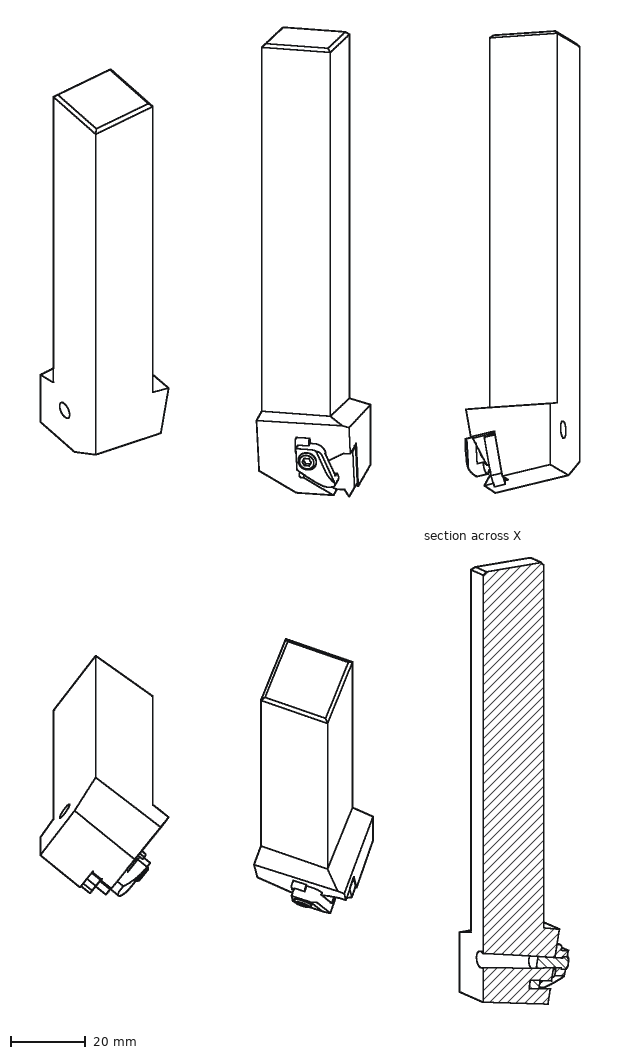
import cadquery as cq
import math

total_length = 124.4
shank_size = 19.0
shank_chamfer = 0.9
right_x = 25.5
shank_left_x = right_x - shank_size

shoulder_z = 22.8
shoulder_slope = 13.0
head_back_limit = 31.1
head_depth = 37.3
head_left_limit = -6.2
nose_flat = 15.4
nose_angle = 30.0

rake_tilt = 10.0
side_tilt = 1.5
tool_origin = (0.09, 20.0, 1.2)

half_corner = math.radians(30)
insert_inradius = 4.7
insert_thickness = 3.1
insert_center_x = 5.0
insert_center_y = 5.3
rake_depth = 3.6
tooth_x = 1.9
tooth_tip_y = -1.9
tooth_half_angle = 30.0
tooth_depth = 2.0
corner_cut = 1.9
seat_depth = rake_depth + insert_thickness
seat_corner_radius = 0.7

clamp_left = 3.1
clamp_right = 13.9
clamp_tip_y = 3.4
clamp_back_y = 14.9
clamp_height = 3.9
tip_shoulder_height = 2.1
crest_y = 8.7
tip_drop = 1.1
finger_back_y = 6.1
foot_front_y = 12.5
underside_gap = 0.6
tip_right = 7.0
tip_radius = 1.5
right_side_y = 8.7
back_left = 7.7
back_corner_radius = 3.1
edge_chamfer = 0.7
heel_left = 11.0
heel_right = 14.7
heel_back_y = 16.4
heel_height = 1.6
heel_radius = 0.7

screw_x = 11.0
screw_y = 11.5
screw_radius = 2.2
screw_end_depth = 5.6
screw_head_radius = 2.5
screw_head_base = 2.5
screw_head_top = 4.5
screw_head_chamfer = 0.5
socket_across_corners = 2.5
socket_depth = 1.2
socket_sides = 6


def tool_plane(depth=0.0):
    """Plane parallel to the head's top face, sunk into the material by depth."""
    tilt = math.radians(rake_tilt)
    side = math.radians(side_tilt)
    across = (math.cos(side), math.sin(side), 0)
    inward = (
        math.sin(side) * math.cos(tilt),
        -math.cos(side) * math.cos(tilt),
        math.sin(tilt),
    )
    origin = [place + depth * step for place, step in zip(tool_origin, inward)]
    return cq.Plane(origin=tuple(origin), xDir=across, normal=inward)


def nearest(plane, point):
    """Selector for the edge or face closest to a point given in a plane's coordinates."""
    return cq.NearestToPointSelector(plane.toWorldCoords(point).toTuple())


def make_shank():
    """Square bar with a chamfered upper end."""
    bar = cq.Workplane("XY").box(
        shank_size, shank_size, total_length - shoulder_z, centered=False
    )
    bar = bar.faces(">Z").edges().chamfer(shank_chamfer)
    return bar.translate((shank_left_x, 0, shoulder_z))


def make_shoulder_envelope():
    """Block below the shank whose upper -X and +Y faces slope down from the shank."""
    slope = math.tan(math.radians(shoulder_slope))
    left_drop = (shank_left_x - head_left_limit) * slope
    back_drop = (head_back_limit - shank_size) * slope
    side_outline = (
        cq.Workplane("XZ")
        .moveTo(head_left_limit, 0)
        .lineTo(right_x, 0)
        .lineTo(right_x, shoulder_z)
        .lineTo(shank_left_x, shoulder_z)
        .lineTo(head_left_limit, shoulder_z - left_drop)
        .close()
        .extrude(-head_back_limit)
    )
    back_outline = (
        cq.Workplane("YZ")
        .moveTo(0, 0)
        .lineTo(head_back_limit, 0)
        .lineTo(head_back_limit, shoulder_z - back_drop)
        .lineTo(shank_size, shoulder_z)
        .lineTo(0, shoulder_z)
        .close()
        .extrude(right_x - head_left_limit)
        .translate((head_left_limit, 0, 0))
    )
    return side_outline.intersect(back_outline)


def make_head():
    """Tilted prism with a flat and an angled lower side, trimmed by the shoulder."""
    far_x = right_x + shank_size
    far_y = (far_x - nose_flat) * math.tan(math.radians(nose_angle))
    top_y = 2 * shoulder_z
    prism = (
        cq.Workplane(tool_plane())
        .moveTo(0, 0)
        .lineTo(nose_flat, 0)
        .lineTo(far_x, far_y)
        .lineTo(far_x, top_y)
        .lineTo(0, top_y)
        .close()
        .extrude(head_depth)
    )
    return prism.intersect(make_shoulder_envelope())


def insert_outline():
    """Triangle with a V tooth at the lower left corner and two cut-off corners."""
    left_x = insert_center_x - insert_inradius
    right_corner_x = insert_center_x + 2 * insert_inradius
    half_side = insert_inradius * math.sqrt(3)
    top_y = insert_center_y + half_side
    corner_y = insert_center_y - half_side
    cut_across = corner_cut * math.cos(half_corner)
    cut_up = corner_cut * math.sin(half_corner)
    flank = math.tan(math.radians(tooth_half_angle))
    root_y = tooth_tip_y + tooth_depth
    return [
        (left_x, tooth_tip_y + (tooth_x - left_x) / flank),
        (tooth_x, tooth_tip_y),
        (tooth_x + tooth_depth * flank, root_y),
        (left_x + (root_y - corner_y) * math.sqrt(3), root_y),
        (right_corner_x - cut_across, insert_center_y - cut_up),
        (right_corner_x - cut_across, insert_center_y + cut_up),
        (left_x + cut_across, top_y - cut_up),
        (left_x, top_y - corner_cut),
    ]


def make_insert():
    """Flat plate with the insert outline, sunk below the head's top face."""
    return (
        cq.Workplane(tool_plane(rake_depth))
        .polyline(insert_outline())
        .close()
        .extrude(insert_thickness)
    )


def make_seat():
    """Pocket for the insert: two walls along its inner edges, open to the left and below."""
    inner_corner_x = insert_center_x + 2 * insert_inradius
    reach = inner_corner_x - head_left_limit
    rise = reach * math.tan(half_corner)
    insert_top = max(y for x, y in insert_outline())
    triangle = (
        cq.Workplane(tool_plane())
        .moveTo(inner_corner_x, insert_center_y)
        .lineTo(head_left_limit, insert_center_y + rise)
        .lineTo(head_left_limit, insert_center_y - rise)
        .close()
        .extrude(seat_depth)
    )
    level_cap = (
        cq.Workplane(tool_plane())
        .moveTo(head_left_limit, insert_top)
        .lineTo(right_x, insert_top)
        .lineTo(right_x, -reach)
        .lineTo(head_left_limit, -reach)
        .close()
        .extrude(seat_depth)
    )
    corner_relief = (
        cq.Workplane(tool_plane())
        .center(inner_corner_x - seat_corner_radius, insert_center_y)
        .circle(seat_corner_radius)
        .extrude(seat_depth)
    )
    return triangle.intersect(level_cap).union(corner_relief)


def make_screw_hole():
    """Hole for the clamp screw, right through the head."""
    return (
        cq.Workplane(tool_plane())
        .center(screw_x, screw_y)
        .circle(screw_radius)
        .extrude(head_depth)
    )


def make_holder():
    """Shank and head in one piece, with the insert seat and the screw hole."""
    blank = make_shank().union(make_head())
    return blank.cut(make_seat()).cut(make_insert()).cut(make_screw_hole())


def clamp_side_plane():
    """Plane at the clamp's left end, facing left: x up along the head, y out of the top face."""
    tool = tool_plane()
    outward = tool.zDir.multiply(-1)
    origin = tool.toWorldCoords((clamp_left, 0, 0))
    return cq.Plane(origin=origin, xDir=tool.yDir, normal=tool.yDir.cross(outward))


def make_clamp_plan():
    """Column with the clamp's plan shape: leaning left side, rounded corners, beveled top edge."""
    tool = tool_plane(-clamp_height)
    plan = (
        cq.Workplane(tool)
        .moveTo(clamp_left, clamp_tip_y)
        .lineTo(tip_right, clamp_tip_y)
        .lineTo(clamp_right, right_side_y)
        .lineTo(clamp_right, clamp_back_y)
        .lineTo(back_left, clamp_back_y)
        .close()
        .extrude(2 * clamp_height)
    )
    left_middle = ((clamp_left + back_left) / 2, (clamp_tip_y + clamp_back_y) / 2, 0)
    tip_corner = (clamp_left, clamp_tip_y, clamp_height)
    back_corner = (back_left, clamp_back_y, clamp_height)
    plan = plan.edges(nearest(tool, left_middle)).chamfer(edge_chamfer)
    plan = plan.edges(nearest(tool, tip_corner)).fillet(tip_radius)
    return plan.edges(nearest(tool, back_corner)).fillet(back_corner_radius)


def make_plain_screw():
    """Screw without its socket: a chamfered round head on a plain shank."""
    top = tool_plane(-screw_head_top)
    head = (
        cq.Workplane(top)
        .center(screw_x, screw_y)
        .circle(screw_head_radius)
        .extrude(screw_head_top - screw_head_base)
        .faces(nearest(top, (screw_x, screw_y, 0)))
        .edges()
        .chamfer(screw_head_chamfer)
    )
    shank = (
        cq.Workplane(tool_plane(-screw_head_base))
        .center(screw_x, screw_y)
        .circle(screw_radius)
        .extrude(screw_head_base + screw_end_depth)
    )
    return head.union(shank)


def make_screw():
    """Clamp screw with a hex socket in its head."""
    socket = (
        cq.Workplane(tool_plane(-screw_head_top))
        .center(screw_x, screw_y)
        .polygon(socket_sides, socket_across_corners)
        .extrude(socket_depth)
    )
    return make_plain_screw().cut(socket)


def make_clamp():
    """Arched finger over the insert seat, standing on a foot and a low heel."""
    crest_run = crest_y - clamp_tip_y
    crest_rise = clamp_height - tip_shoulder_height
    arch_radius = (crest_run**2 + crest_rise**2) / (2 * crest_rise)
    side = clamp_side_plane()
    body = (
        cq.Workplane(side)
        .moveTo(clamp_tip_y, -tip_drop)
        .lineTo(clamp_tip_y, tip_shoulder_height)
        .radiusArc((crest_y, clamp_height), arch_radius)
        .lineTo(clamp_back_y, clamp_height)
        .lineTo(clamp_back_y, 0)
        .lineTo(foot_front_y, 0)
        .lineTo(foot_front_y, underside_gap)
        .lineTo(finger_back_y, underside_gap)
        .lineTo(finger_back_y, -tip_drop)
        .close()
        .extrude(clamp_left - clamp_right)
    )
    heel = (
        cq.Workplane(side)
        .moveTo(foot_front_y, 0)
        .lineTo(heel_back_y, 0)
        .lineTo(heel_back_y, heel_height - heel_radius)
        .radiusArc((heel_back_y - heel_radius, heel_height), -heel_radius)
        .lineTo(foot_front_y, heel_height)
        .close()
        .extrude(heel_left - heel_right)
        .translate(tool_plane().xDir.multiply(heel_left - clamp_left))
    )
    body = body.intersect(make_clamp_plan())
    return body.union(heel).cut(make_plain_screw())


holder = make_holder()
insert = make_insert()
clamp = make_clamp()
screw = make_screw()
result = cq.Compound.makeCompound(
    [
        holder.solids().val(),
        insert.solids().val(),
        clamp.solids().val(),
        screw.solids().val(),
    ]
)